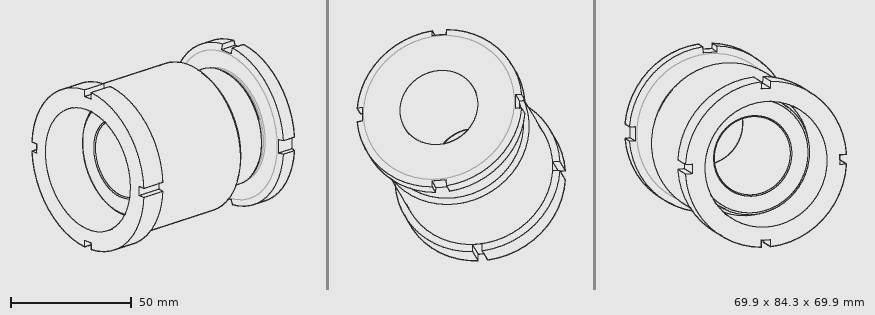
import cadquery as cq


FLANGE_RADIUS = 35.0
FLANGE_LENGTH = 11.0
FLANGE_BEVEL = 0.5
BARREL_RADIUS = 32.0
HOUSING_LENGTH = 58.0
BARREL_CHAMFER = 2.0
RECESS_RADIUS = 26.5
RECESS_DEPTH = 25.0
HOUSING_NOTCH_WIDTH = 4.0
HOUSING_NOTCH_FLOOR = BARREL_RADIUS

STEM_RADIUS = 25.0
STEM_START = 18.3
RELIEF_LENGTH = 1.5
STEM_CHAMFER = 1.0
RELIEF_RADIUS = STEM_RADIUS - STEM_CHAMFER
RELIEF_FILLET = 0.5
COLLAR_RADIUS = 35.0
COLLAR_LENGTH = 8.0
COLLAR_BEVEL = 0.9
COLLAR_FACE_RADIUS = 32.0
SLEEVE_LENGTH = 66.0
SLEEVE_END = STEM_START + SLEEVE_LENGTH
COLLAR_START = SLEEVE_END - COLLAR_LENGTH
STEM_END = COLLAR_START - RELIEF_LENGTH
COLLAR_NOTCH_WIDTH = 6.0
COLLAR_NOTCH_FLOOR = 32.5
BORE_RADIUS = 16.5
BORE_CHAMFER = 0.5

NOTCH_COUNT = 4
NOTCH_OVERSHOOT = 2.0

def turn(profile_points):
    """Revolve a closed (radius, y) outline about the Y axis."""
    outline = cq.Workplane("XY").polyline(profile_points).close()
    return outline.revolve(360, (0, 0, 0), (0, 1, 0))

def cut_notches(body, width, floor_radius, rim_radius, y_start, y_end):
    """Cut equally spaced flat-bottomed spanner notches into a rim."""
    depth = rim_radius - floor_radius + NOTCH_OVERSHOOT
    cutter = (
        cq.Workplane("XY")
        .box(depth, y_end - y_start, width, centered=(False, False, True))
        .translate((floor_radius, y_start, 0))
    )
    for index in range(NOTCH_COUNT):
        angle = index * 360 / NOTCH_COUNT
        body = body.cut(cutter.rotate((0, 0, 0), (0, 1, 0), angle))
    return body

def make_housing():
    body = turn([
        (RECESS_RADIUS, 0),
        (FLANGE_RADIUS, 0),
        (FLANGE_RADIUS, FLANGE_LENGTH - FLANGE_BEVEL),
        (BARREL_RADIUS, FLANGE_LENGTH),
        (BARREL_RADIUS, HOUSING_LENGTH - BARREL_CHAMFER),
        (BARREL_RADIUS - BARREL_CHAMFER, HOUSING_LENGTH),
        (STEM_RADIUS, HOUSING_LENGTH),
        (STEM_RADIUS, RECESS_DEPTH),
        (RECESS_RADIUS, RECESS_DEPTH),
    ])
    return cut_notches(
        body, HOUSING_NOTCH_WIDTH, HOUSING_NOTCH_FLOOR, FLANGE_RADIUS, 0, FLANGE_LENGTH
    )

def make_sleeve():
    body = turn([
        (BORE_RADIUS, STEM_START + BORE_CHAMFER),
        (BORE_RADIUS + BORE_CHAMFER, STEM_START),
        (RELIEF_RADIUS, STEM_START),
        (STEM_RADIUS, STEM_START + STEM_CHAMFER),
        (STEM_RADIUS, STEM_END - STEM_CHAMFER),
        (RELIEF_RADIUS, STEM_END),
        (RELIEF_RADIUS, COLLAR_START),
        (COLLAR_FACE_RADIUS, COLLAR_START),
        (COLLAR_RADIUS, COLLAR_START + COLLAR_BEVEL),
        (COLLAR_RADIUS, SLEEVE_END - COLLAR_BEVEL),
        (COLLAR_FACE_RADIUS, SLEEVE_END),
        (BORE_RADIUS, SLEEVE_END),
    ])
    groove_corners = cq.selectors.BoxSelector(
        (-STEM_RADIUS, STEM_END - RELIEF_FILLET, -STEM_RADIUS),
        (STEM_RADIUS, COLLAR_START + RELIEF_FILLET, STEM_RADIUS),
        boundingbox=True,
    )
    body = body.edges("%CIRCLE").edges(groove_corners).fillet(RELIEF_FILLET)
    return cut_notches(
        body, COLLAR_NOTCH_WIDTH, COLLAR_NOTCH_FLOOR, COLLAR_RADIUS, COLLAR_START, SLEEVE_END
    )

housing = make_housing()
sleeve = make_sleeve()

result = cq.Compound.makeCompound([housing.val(), sleeve.val()])